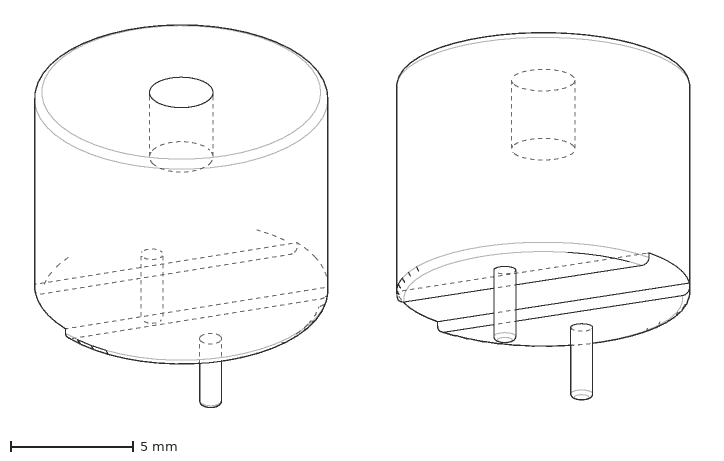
import cadquery as cq

body_diameter = 12.0
body_height = 9.5
edge_radius = 0.3

sound_hole_diameter = 2.6
sound_hole_depth = 3.0

channel_width = 4.0
channel_height = 0.5

pin_diameter = 0.9
pin_pitch = 7.6
pin_length = 3.03
pin_tip_radius = 0.15


def make_body():
    """Cylindrical housing with both rims rounded."""
    cylinder = cq.Workplane("XY").circle(body_diameter / 2).extrude(body_height)
    return cylinder.faces("<Z or >Z").edges().fillet(edge_radius)


def make_sound_hole():
    """Blind round hole going down from the top face."""
    top_plane = cq.Workplane("XY").workplane(offset=body_height)
    return top_plane.circle(sound_hole_diameter / 2).extrude(-sound_hole_depth)


def make_channel():
    """Rectangular channel through the whole underside."""
    return cq.Workplane("XY").box(
        channel_width, body_diameter, channel_height, centered=(True, True, False)
    )


def make_pin(x):
    """Round pin below the housing with a rounded tip."""
    pin = cq.Workplane("XY").center(x, 0).circle(pin_diameter / 2).extrude(-pin_length)
    return pin.faces("<Z").edges().fillet(pin_tip_radius)


result = make_body().cut(make_sound_hole()).cut(make_channel())
for side in (-1, 1):
    result = result.union(make_pin(side * pin_pitch / 2))